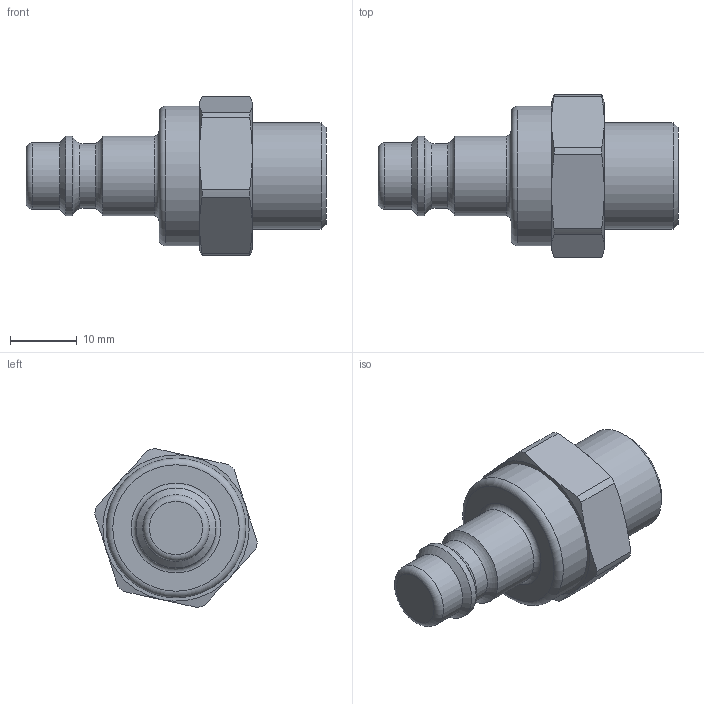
import cadquery as cq
import math


TIP_DIAMETER = 10.0
TIP_ROUND = 1.0
PLUG_DIAMETER = 12.0
GROOVE_DIAMETER = 9.75
LOCK_RING_START = 5.1
LOCK_RING_CREST_START = 6.0
LOCK_RING_CREST_END = 6.95
GROOVE_FLOOR_START = 8.1
GROOVE_FLOOR_END = 10.45
SHANK_START = 11.55
GROOVE_FLANK_RADIUS = 2.5

COLLAR_DIAMETER = 21.0
COLLAR_START = 20.0
COLLAR_ROUND = 1.0
COLLAR_ROOT_FILLET = 0.75

HEX_START = 26.1
HEX_LENGTH = 7.9
HEX_END = HEX_START + HEX_LENGTH
HEX_SIDES = 6
HEX_ACROSS_FLATS = 22.0
HEX_CORNER_DIAMETER = 24.8
HEX_FACE_DIAMETER = 22.0
HEX_CHAMFER_ANGLE = 15.0
HEX_ROLL_ANGLE = 12.28

SPIGOT_DIAMETER = 16.0
SPIGOT_CHAMFER = 0.75
TOTAL_LENGTH = 45.1


def revolve_about_x(profile):
    """Turn a closed profile, drawn as (x, radius), into a solid."""
    return profile.close().revolve(360, (0, 0, 0), (1, 0, 0))


def make_plug():
    """Plug with a rounded tip, a locking ring and a groove with hollow flanks."""
    tip_radius = TIP_DIAMETER / 2
    plug_radius = PLUG_DIAMETER / 2
    groove_radius = GROOVE_DIAMETER / 2
    profile = (
        cq.Workplane("XY")
        .lineTo(0, tip_radius - TIP_ROUND)
        .radiusArc((TIP_ROUND, tip_radius), TIP_ROUND)
        .lineTo(LOCK_RING_START, tip_radius)
        .lineTo(LOCK_RING_CREST_START, plug_radius)
        .lineTo(LOCK_RING_CREST_END, plug_radius)
        .radiusArc((GROOVE_FLOOR_START, groove_radius), -GROOVE_FLANK_RADIUS)
        .lineTo(GROOVE_FLOOR_END, groove_radius)
        .radiusArc((SHANK_START, plug_radius), -GROOVE_FLANK_RADIUS)
        .lineTo(COLLAR_START - COLLAR_ROOT_FILLET, plug_radius)
        .radiusArc((COLLAR_START, plug_radius + COLLAR_ROOT_FILLET), -COLLAR_ROOT_FILLET)
        .lineTo(COLLAR_START, 0)
    )
    return revolve_about_x(profile)


def make_collar():
    """Round collar with a rounded front edge, reaching back to the hexagon."""
    collar = (
        cq.Workplane("YZ", origin=(COLLAR_START, 0, 0))
        .circle(COLLAR_DIAMETER / 2)
        .extrude(HEX_START - COLLAR_START)
    )
    return collar.faces("<X").edges().fillet(COLLAR_ROUND)


def make_hexagon():
    """Hexagon with turned corners and a cone chamfer on both end faces."""
    circumscribed_diameter = HEX_ACROSS_FLATS / math.cos(math.pi / HEX_SIDES)
    prism = (
        cq.Workplane("YZ", origin=(HEX_START, 0, 0))
        .polygon(HEX_SIDES, circumscribed_diameter)
        .extrude(HEX_LENGTH)
        .rotate((0, 0, 0), (1, 0, 0), HEX_ROLL_ANGLE)
    )
    corner_radius = HEX_CORNER_DIAMETER / 2
    face_radius = HEX_FACE_DIAMETER / 2
    chamfer_length = (corner_radius - face_radius) * math.tan(math.radians(HEX_CHAMFER_ANGLE))
    turned_blank = revolve_about_x(
        cq.Workplane("XY")
        .moveTo(HEX_START, 0)
        .lineTo(HEX_START, face_radius)
        .lineTo(HEX_START + chamfer_length, corner_radius)
        .lineTo(HEX_END - chamfer_length, corner_radius)
        .lineTo(HEX_END, face_radius)
        .lineTo(HEX_END, 0)
    )
    return prism.intersect(turned_blank)


def make_spigot():
    """Plain cylinder behind the hexagon, chamfered at its free end."""
    spigot = (
        cq.Workplane("YZ", origin=(HEX_END, 0, 0))
        .circle(SPIGOT_DIAMETER / 2)
        .extrude(TOTAL_LENGTH - HEX_END)
    )
    return spigot.faces(">X").edges().chamfer(SPIGOT_CHAMFER)


result = make_plug().union(make_collar()).union(make_hexagon()).union(make_spigot())